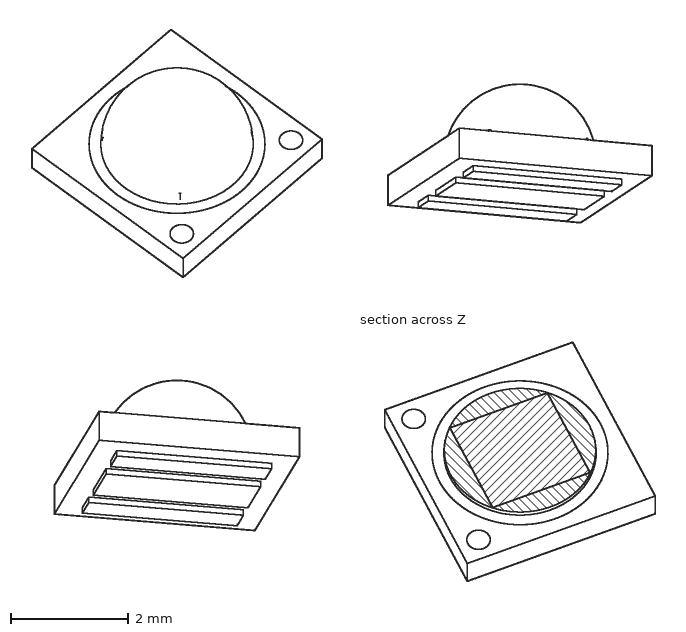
import cadquery as cq

package_side = 3.5
total_height = 1.93
dome_radius = 1.3
pad_thickness = 0.1
base_thickness = total_height - dome_radius - pad_thickness

base_bottom = pad_thickness
base_top = base_bottom + base_thickness

flange_diameter = 3.0
flange_thickness = 0.1

chip_side = 1.8
chip_height = 0.25

mark_diameter = 0.4
mark_thickness = 0.1
mark_offset = 1.375

pad_length = 2.7
outer_pad_width = 0.5
thermal_pad_width = 1.0
outer_pad_offset = (pad_length - outer_pad_width) / 2


def make_chip():
    seat = base_top - flange_thickness
    return (
        cq.Workplane("XY", origin=(0, 0, seat))
        .rect(chip_side, chip_side)
        .extrude(flange_thickness + chip_height)
    )


def make_lens(chip):
    flange = (
        cq.Workplane("XY", origin=(0, 0, base_top - flange_thickness))
        .circle(flange_diameter / 2)
        .extrude(flange_thickness)
    )
    dome = (
        cq.Workplane("XZ", origin=(0, 0, base_top))
        .lineTo(-dome_radius, 0)
        .radiusArc((0, dome_radius), dome_radius)
        .close()
        .revolve(360, (0, 0), (0, 1))
    )
    return flange.union(dome).cut(chip)


def make_mark(y):
    return (
        cq.Workplane("XY", origin=(mark_offset, y, base_top - mark_thickness))
        .circle(mark_diameter / 2)
        .extrude(mark_thickness)
    )


def make_pad(x, width):
    return cq.Workplane("XY", origin=(x, 0, 0)).rect(width, pad_length).extrude(pad_thickness)


def make_base(marks):
    base = (
        cq.Workplane("XY", origin=(0, 0, base_bottom))
        .rect(package_side, package_side)
        .extrude(base_thickness)
        .faces(">Z")
        .workplane()
        .hole(flange_diameter, flange_thickness)
    )
    for mark in marks:
        base = base.cut(mark)
    base = base.union(make_pad(0, thermal_pad_width))
    for side in (-1, 1):
        base = base.union(make_pad(side * outer_pad_offset, outer_pad_width))
    return base


chip = make_chip()
lens = make_lens(chip)
marks = [make_mark(side * mark_offset) for side in (-1, 1)]
base = make_base(marks)

result = cq.Compound.makeCompound(
    [base.val(), lens.val(), chip.val(), *[mark.val() for mark in marks]]
)